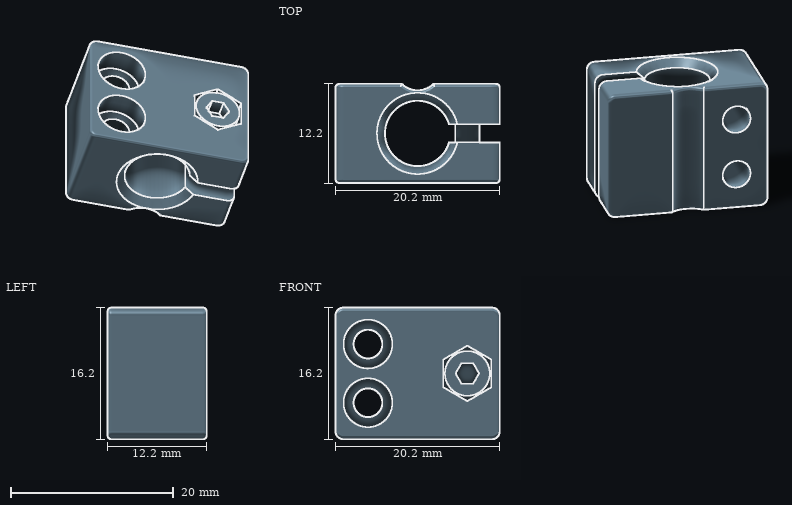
import cadquery as cq
import math

LENGTH_X = 20.2
DEPTH_Y = 12.2
HEIGHT_Z = 16.2
CORNER_RADIUS = 1.0
FACE_EDGE_RADIUS = 0.5

BORE_DIAMETER = 8.0
BORE_CHAMFER = 1.0
SLIT_WIDTH = 2.2

GROOVE_RADIUS = 2.75
GROOVE_DEPTH = 0.8
GROOVE_EDGE_RADIUS = FACE_EDGE_RADIUS

MOUNT_X = -6.1
MOUNT_SPACING = 7.2
MOUNT_DIAMETER = 3.5
COUNTERBORE_DIAMETER = 6.0
COUNTERBORE_DEPTH = 3.0

SCREW_X = -MOUNT_X
SCREW_DIAMETER = 3.0
HEAD_DIAMETER = 5.5
HEAD_HEIGHT = 3.0
POCKET_ACROSS_FLATS = 5.9
SOCKET_ACROSS_FLATS = 2.5
SOCKET_DEPTH = 2.0

FRONT_Y = -DEPTH_Y / 2
BACK_Y = DEPTH_Y / 2
TOP_Z = HEIGHT_Z / 2


def front_plane(x=0.0, z=0.0):
    """Workplane on the front face whose normal points into the block (+Y)."""
    return cq.Workplane(cq.Plane(origin=(x, FRONT_Y, z), xDir=(1, 0, 0), normal=(0, 1, 0)))


def cylinder_along_y(x, z, diameter, length):
    return front_plane(x, z).circle(diameter / 2).extrude(length)


def hexagon_along_y(x, z, across_flats, length, turn=0.0):
    """Hexagonal prism with corners on the X direction, turned about its axis."""
    corner_diameter = across_flats / math.cos(math.pi / 6)
    plane = front_plane(x, z).transformed(rotate=(0, 0, turn))
    return plane.polygon(6, corner_diameter).extrude(length)


def make_block():
    block = cq.Workplane("XY").box(LENGTH_X, DEPTH_Y, HEIGHT_Z)
    block = block.edges("|Y").fillet(CORNER_RADIUS)
    return block.faces("<Y or >Y").edges().fillet(FACE_EDGE_RADIUS)


def make_groove():
    """Round cutter along Z that flares out to round over both ends of the groove."""
    axis_y = BACK_Y - GROOVE_DEPTH + GROOVE_RADIUS
    flare_radius = GROOVE_RADIUS + GROOVE_EDGE_RADIUS
    flare_start = TOP_Z - GROOVE_EDGE_RADIUS
    arc_inset = GROOVE_EDGE_RADIUS * math.sqrt(0.5)
    arc_mid_radius = flare_radius - arc_inset
    arc_mid_z = flare_start + arc_inset
    profile = (
        cq.Workplane("XZ")
        .moveTo(0, -TOP_Z)
        .lineTo(flare_radius, -TOP_Z)
        .threePointArc((arc_mid_radius, -arc_mid_z), (GROOVE_RADIUS, -flare_start))
        .lineTo(GROOVE_RADIUS, flare_start)
        .threePointArc((arc_mid_radius, arc_mid_z), (flare_radius, TOP_Z))
        .lineTo(0, TOP_Z)
        .close()
    )
    return profile.revolve(360, (0, 0, 0), (0, 1, 0)).translate((0, axis_y, 0))


def make_bore():
    """Bore cutter with a 45 degree chamfer at each end."""
    bore_radius = BORE_DIAMETER / 2
    mouth_radius = bore_radius + BORE_CHAMFER
    chamfer_start = TOP_Z - BORE_CHAMFER
    profile = cq.Workplane("XZ").polyline([
        (0, -TOP_Z),
        (mouth_radius, -TOP_Z),
        (bore_radius, -chamfer_start),
        (bore_radius, chamfer_start),
        (mouth_radius, TOP_Z),
        (0, TOP_Z),
    ]).close()
    return profile.revolve(360, (0, 0, 0), (0, 1, 0))


def make_slit():
    """Slit from the bore axis out through the +X side."""
    return cq.Workplane("XY").box(LENGTH_X / 2, SLIT_WIDTH, HEIGHT_Z, centered=(False, True, True))


def make_mounting_hole(z):
    hole = cylinder_along_y(MOUNT_X, z, MOUNT_DIAMETER, DEPTH_Y)
    counterbore = cylinder_along_y(MOUNT_X, z, COUNTERBORE_DIAMETER, COUNTERBORE_DEPTH)
    return hole.union(counterbore)


def make_screw():
    """Screw with its head flush with the front face and its shank across the slit."""
    head = cylinder_along_y(SCREW_X, 0, HEAD_DIAMETER, HEAD_HEIGHT)
    shank_length = DEPTH_Y / 2 + SLIT_WIDTH
    shank = cylinder_along_y(SCREW_X, 0, SCREW_DIAMETER, shank_length)
    socket = hexagon_along_y(SCREW_X, 0, SOCKET_ACROSS_FLATS, SOCKET_DEPTH)
    return head.union(shank).cut(socket)


result = make_block().cut(make_groove()).cut(make_bore()).cut(make_slit())
for side in (-1, 1):
    result = result.cut(make_mounting_hole(side * MOUNT_SPACING / 2))
result = result.cut(hexagon_along_y(SCREW_X, 0, POCKET_ACROSS_FLATS, HEAD_HEIGHT, turn=30))
result = result.union(make_screw())